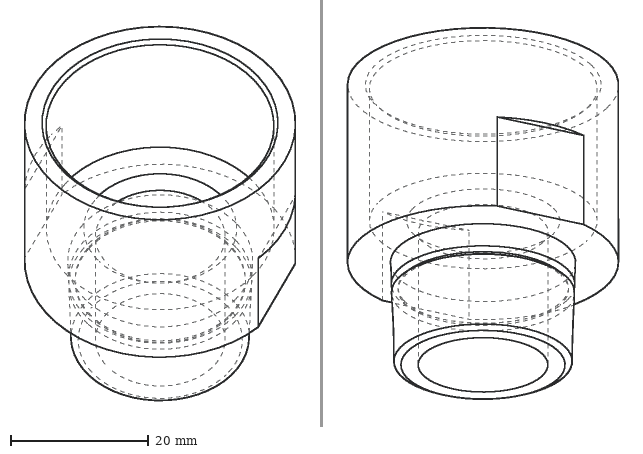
import cadquery as cq

total_height = 45.0
spigot_length = 16.42
body_height = total_height - spigot_length

body_radius = 19.75
flat_distance = 18.45
flat_height = body_height / 2

spigot_end_radius = 13.0
radius_taper = 1 / 32
end_chamfer_height = 0.55
end_face_radius = 11.95

groove_bottom = 11.6
groove_top = 12.9
groove_floor_radius = 12.4
groove_floor_width = 0.3

cavity_radius = 16.6
cavity_depth = 21.85
cavity_chamfer = 0.6
bore_radius = 9.45
bore_chamfer = 1.7


def spigot_radius(height):
    """Radius of the tapered spigot at a height above its end face."""
    return spigot_end_radius + radius_taper * (height - end_chamfer_height)


def make_turned_outside():
    """Solid of revolution with the body, the spigot and its groove."""
    groove_middle = (groove_bottom + groove_top) / 2
    half_floor = groove_floor_width / 2
    return (
        cq.Workplane("XZ")
        .moveTo(0, 0)
        .lineTo(end_face_radius, 0)
        .lineTo(spigot_end_radius, end_chamfer_height)
        .lineTo(spigot_radius(groove_bottom), groove_bottom)
        .lineTo(groove_floor_radius, groove_middle - half_floor)
        .lineTo(groove_floor_radius, groove_middle + half_floor)
        .lineTo(spigot_radius(groove_top), groove_top)
        .lineTo(spigot_radius(spigot_length), spigot_length)
        .lineTo(body_radius, spigot_length)
        .lineTo(body_radius, total_height)
        .lineTo(0, total_height)
        .close()
        .revolve(360, (0, 0, 0), (0, 1, 0))
    )


def make_inside():
    """Volume of the cavity and bore, including both entry chamfers."""
    cavity_floor = total_height - cavity_depth
    return (
        cq.Workplane("XZ")
        .moveTo(0, 0)
        .lineTo(bore_radius, 0)
        .lineTo(bore_radius, cavity_floor - bore_chamfer)
        .lineTo(bore_radius + bore_chamfer, cavity_floor)
        .lineTo(cavity_radius, cavity_floor)
        .lineTo(cavity_radius, total_height - cavity_chamfer)
        .lineTo(cavity_radius + cavity_chamfer, total_height)
        .lineTo(0, total_height)
        .close()
        .revolve(360, (0, 0, 0), (0, 1, 0))
    )


def cut_wrench_flats(part):
    """Cut flats facing -X and +X into the lower half of the body."""
    block_size = 2 * body_radius
    for side in (-1, 1):
        block = (
            cq.Workplane("XY", origin=(0, 0, spigot_length))
            .center(side * (flat_distance + block_size / 2), 0)
            .rect(block_size, block_size)
            .extrude(flat_height)
        )
        part = part.cut(block)
    return part


result = cut_wrench_flats(make_turned_outside()).cut(make_inside())